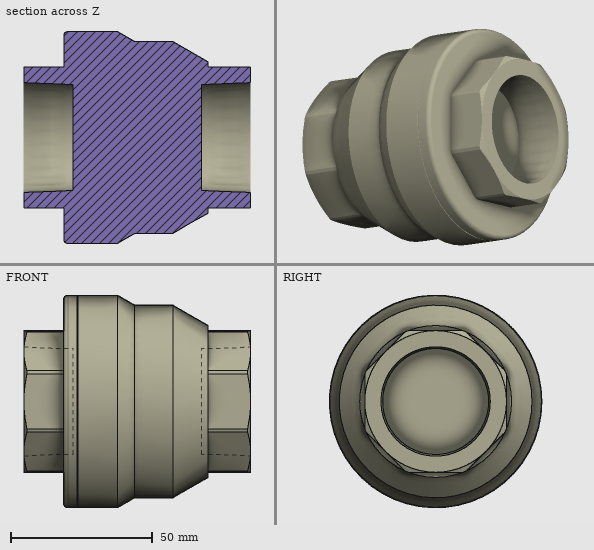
import cadquery as cq
import math

TOTAL_LENGTH = 80.0
FLANGE_START = 14.0
GROOVE_START = 18.75
GROOVE_WIDTH = 0.3
FLANGE_END = 33.0
BODY_END = 65.0

FLANGE_DIAMETER = 75.0
FLANGE_EDGE_RADIUS = 1.5
GROOVE_DEPTH = 0.2
BARREL_DIAMETER = 68.0
TAPER_ANGLE = 30.0

SIDES = 8
ACROSS_FLATS = 50.0
ACROSS_CORNERS = 53.6
CORNER_CHAMFER_ANGLE = 30.0

SOCKET_MOUTH_DIAMETER = 38.6
SOCKET_FLOOR_DIAMETER = 37.4
SOCKET_TAPER_LENGTH = 15.3
SOCKET_DEPTH = 17.3

flange_radius = FLANGE_DIAMETER / 2
barrel_radius = BARREL_DIAMETER / 2
corner_radius = ACROSS_CORNERS / 2
flat_radius = ACROSS_FLATS / 2
taper_slope = math.tan(math.radians(TAPER_ANGLE))
barrel_start = FLANGE_END + (flange_radius - barrel_radius) / taper_slope
barrel_end = BODY_END - (barrel_radius - corner_radius) / taper_slope


def revolve_about_x(profile):
    """Turn a closed XY profile a full revolution about the X axis."""
    return profile.close().revolve(360, (0, 0, 0), (1, 0, 0))


def make_body():
    """Flange, step-down cone, barrel and end cone."""
    body = revolve_about_x(
        cq.Workplane("XY")
        .moveTo(FLANGE_START, 0)
        .lineTo(FLANGE_START, flange_radius)
        .lineTo(FLANGE_END, flange_radius)
        .lineTo(barrel_start, barrel_radius)
        .lineTo(barrel_end, barrel_radius)
        .lineTo(BODY_END, corner_radius)
        .lineTo(BODY_END, 0)
    )
    return body.faces("<X").edges().fillet(FLANGE_EDGE_RADIUS)


def make_groove():
    """Ring that cuts the fine parting groove around the flange."""
    return (
        cq.Workplane("YZ", origin=(GROOVE_START, 0, 0))
        .circle(flange_radius)
        .circle(flange_radius - GROOVE_DEPTH)
        .extrude(GROOVE_WIDTH)
    )


def make_octagon_bar():
    """Full-length octagonal bar with turned corners and chamfered ends."""
    octagon = (
        cq.Workplane("YZ")
        .polygon(SIDES, ACROSS_FLATS, circumscribed=True)
        .extrude(TOTAL_LENGTH)
    )
    chamfer_length = (corner_radius - flat_radius) * math.tan(math.radians(CORNER_CHAMFER_ANGLE))
    envelope = revolve_about_x(
        cq.Workplane("XY")
        .lineTo(0, flat_radius)
        .lineTo(chamfer_length, corner_radius)
        .lineTo(TOTAL_LENGTH - chamfer_length, corner_radius)
        .lineTo(TOTAL_LENGTH, flat_radius)
        .lineTo(TOTAL_LENGTH, 0)
    )
    return octagon.intersect(envelope)


def make_socket():
    """Blind socket: a long slow taper, then a short straight stretch to the floor."""
    mouth_radius = SOCKET_MOUTH_DIAMETER / 2
    floor_radius = SOCKET_FLOOR_DIAMETER / 2
    return revolve_about_x(
        cq.Workplane("XY")
        .lineTo(0, mouth_radius)
        .lineTo(SOCKET_TAPER_LENGTH, floor_radius)
        .lineTo(SOCKET_DEPTH, floor_radius)
        .lineTo(SOCKET_DEPTH, 0)
    )


near_socket = make_socket()
far_socket = near_socket.mirror("YZ", (TOTAL_LENGTH / 2, 0, 0))

result = make_body().cut(make_groove()).union(make_octagon_bar())
result = result.cut(near_socket).cut(far_socket)
result = result.translate((-TOTAL_LENGTH / 2, 0, 0))